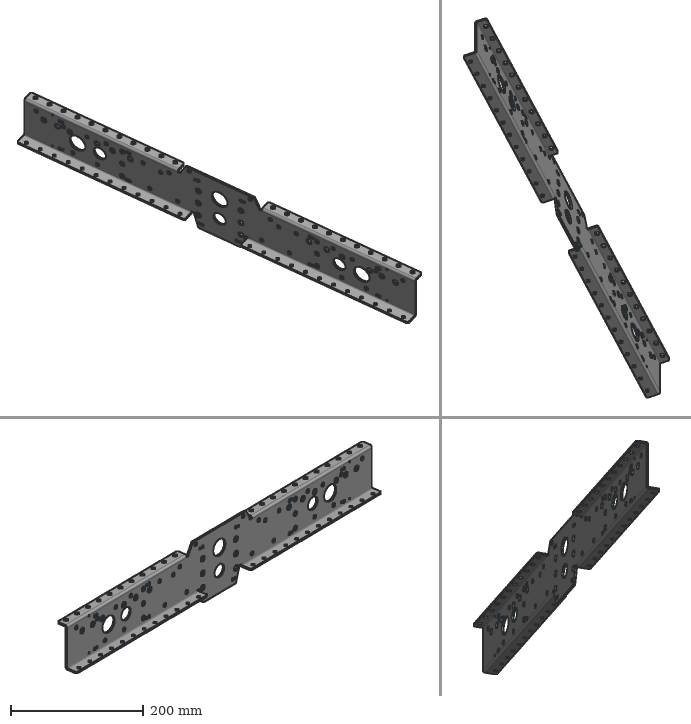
import cadquery as cq
import math

LENGTH = 711.2
HEIGHT = 116.33
SHEET = 3.175
INNER_BEND = 0.8
OUTER_BEND = INNER_BEND + SHEET
DEPTH = 38.1
FRONT_REACH = 19.12
BACK_REACH = DEPTH - FRONT_REACH
FLANGE_CORNER = 3.0

TAB_TOP = HEIGHT / 2
TAB_BOTTOM = -HEIGHT / 2
UPPER_FLANGE_TOP = 42.9
LOWER_FLANGE_BOTTOM = -34.5

HALF_LENGTH = LENGTH / 2
FLANGE_PITCH = 25.4
UPPER_FLANGE_HOLES = 11
LOWER_FLANGE_HOLES = 12
UPPER_FLANGE_START = HALF_LENGTH - UPPER_FLANGE_HOLES * FLANGE_PITCH
LOWER_FLANGE_START = HALF_LENGTH - LOWER_FLANGE_HOLES * FLANGE_PITCH
TAB_TOP_HALF = 62.0
UPPER_NOTCH_START = 71.5
LOWER_NOTCH_START = 46.6
TAB_BOTTOM_HALF = 38.5
UPPER_NOTCH_RISE = 2.0
LOWER_NOTCH_DROP = 2.0
TAB_TOP_CORNER = 3.0
TAB_BOTTOM_CORNER = 3.0

UPPER_FLANGE_HOLE = 6.71
LOWER_FLANGE_HOLE = 5.11
FLANGE_HOLE_INSET = 6.35

CENTRE_HOLES = [(21.9, 28.57), (-18.9, 22.23)]

SIDE_HOLES = {
    28.57: [(258.5, 2.2)],
    22.23: [(217.8, 2.3)],
    9.65: [(38.7, 19.0), (38.8, -6.4), (38.8, -31.6)],
    9.53: [(162.6, 20.1), (194.8, 20.5), (222.7, 20.3), (319.9, 18.2), (295.0, 18.2), (272.6, 18.2)],
    8.13: [(177.2, 27.8), (177.2, 2.3), (177.2, -23.1)],
    6.71: [
        (333.4, 29.6), (284.2, 23.2), (266.7, -22.6), (241.3, 24.4), (222.2, -23.4), (206.3, 28.8),
        (139.3, 24.4), (127.0, -22.6), (107.4, 21.6), (92.0, 28.8), (76.3, -22.6), (55.4, 52.1),
    ],
    5.08: [(290.7, 31.0), (290.7, -26.8), (163.8, 31.0), (163.8, -26.8), (38.7, 40.1), (31.3, -48.3)],
    3.57: [(285.7, 31.0), (285.7, -26.2), (169.3, 31.0), (169.3, -26.8), (44.8, 39.7), (37.7, -48.4)],
    2.54: [(304.2, 36.8), (304.2, -28.0)],
}


def both_sides(solid):
    """The solid joined to its mirror image across x = 0."""
    return solid.union(solid.mirror("YZ"))


def make_web():
    """Flat sheet from bend line to bend line, with the tabs above and below the middle."""
    upper_bend = UPPER_FLANGE_TOP - OUTER_BEND
    lower_bend = LOWER_FLANGE_BOTTOM + OUTER_BEND
    half = [
        (0, TAB_TOP),
        (TAB_TOP_HALF, TAB_TOP),
        (UPPER_NOTCH_START, upper_bend + UPPER_NOTCH_RISE),
        (UPPER_NOTCH_START, upper_bend),
        (HALF_LENGTH, upper_bend),
        (HALF_LENGTH, lower_bend),
        (LOWER_NOTCH_START, lower_bend),
        (LOWER_NOTCH_START, lower_bend - LOWER_NOTCH_DROP),
        (TAB_BOTTOM_HALF, TAB_BOTTOM),
        (0, TAB_BOTTOM),
    ]
    web = both_sides(cq.Workplane("XZ").polyline(half).close().extrude(-SHEET))
    web = web.edges("|Y").edges(">Z").fillet(TAB_TOP_CORNER)
    return web.edges("|Y").edges("<Z").fillet(TAB_BOTTOM_CORNER)


def make_flange(start, holes, hole_diameter, reach):
    """Right-hand flange folded toward +y from the web face y = 0, its outer face on z = 0."""
    length = HALF_LENGTH - start
    mid = math.sqrt(0.5)
    outer_mid = OUTER_BEND * (1 - mid)
    inner_mid = OUTER_BEND - INNER_BEND * mid
    flange = (
        cq.Workplane("YZ", origin=(start, 0, 0))
        .moveTo(0, -OUTER_BEND)
        .threePointArc((outer_mid, -outer_mid), (OUTER_BEND, 0))
        .lineTo(reach, 0)
        .lineTo(reach, -SHEET)
        .lineTo(OUTER_BEND, -SHEET)
        .threePointArc((inner_mid, -inner_mid), (SHEET, -OUTER_BEND))
        .close()
        .extrude(length)
        .edges("|Z and >Y")
        .fillet(FLANGE_CORNER)
    )
    centres = [
        (start + (i + 1 / 2) * FLANGE_PITCH, reach - FLANGE_HOLE_INSET) for i in range(holes)
    ]
    drill = cq.Workplane("XY").pushPoints(centres).circle(hole_diameter / 2).extrude(-SHEET)
    return flange.cut(drill)


def make_upper_flanges():
    flange = make_flange(UPPER_FLANGE_START, UPPER_FLANGE_HOLES, UPPER_FLANGE_HOLE, BACK_REACH)
    return both_sides(flange.translate((0, 0, UPPER_FLANGE_TOP)))


def make_lower_flanges():
    """The same flange turned over, so that it folds toward -y."""
    reach = FRONT_REACH + SHEET
    flange = make_flange(LOWER_FLANGE_START, LOWER_FLANGE_HOLES, LOWER_FLANGE_HOLE, reach)
    flange = flange.rotate((0, 0, 0), (1, 0, 0), 180).translate((0, SHEET, LOWER_FLANGE_BOTTOM))
    return both_sides(flange)


def drill_through_web(points, diameter):
    return cq.Workplane("XZ").pushPoints(points).circle(diameter / 2).extrude(-SHEET)


def drill_web(web):
    for z, diameter in CENTRE_HOLES:
        web = web.cut(drill_through_web([(0, z)], diameter))
    for diameter, places in SIDE_HOLES.items():
        points = [(side * x, z) for x, z in places for side in (-1, 1)]
        web = web.cut(drill_through_web(points, diameter))
    return web


body = make_web().union(make_upper_flanges()).union(make_lower_flanges())
result = drill_web(body).solids()